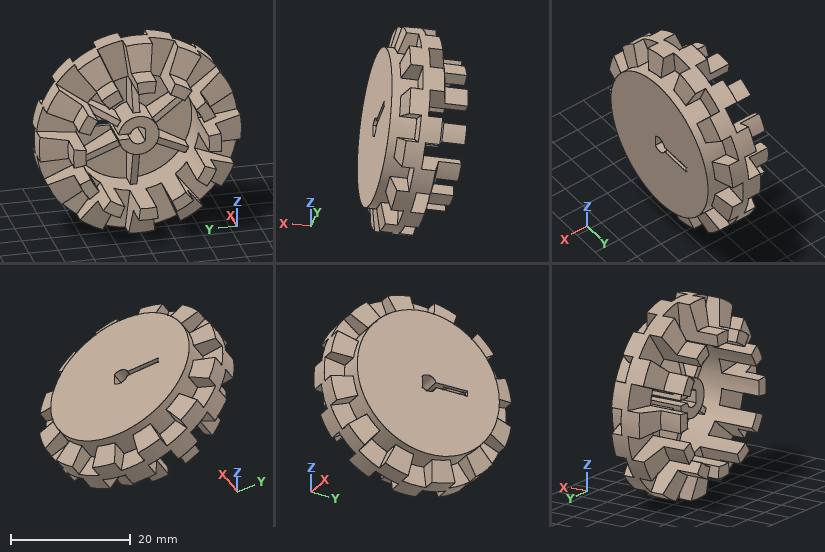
import cadquery as cq
import math

LENGTH = 13.25
FINGER_END = 3.95
FRONT_CONE_END = 5.1
HUB_FACE = 6.25
FRONT_GAP_END = 7.5
REAR_GAP_START = 8.75
REAR_CONE_START = 10.85
REAR_CONE_END = 11.7
FLOOR = 12.5
RIB_START_AT_HUB = 7.9
RIB_START_AT_WALL = 9.9

OUTER_RADIUS = 17.38
FINGER_RADIUS = 12.72
DISK_RADIUS = 13.55
CUP_RADIUS = 10.6
HUB_RADIUS = 3.48
BORE_RADIUS = 1.53

TOOTH_COUNT = 12
TOOTH_PITCH = 360 / TOOTH_COUNT
GAP_ANGLE = TOOTH_PITCH / 2
TOOTH_TWIST = -0.75
CUTTER_REACH = 1.5 * OUTER_RADIUS

FLAT_DISTANCE = 1.1
KEYWAY_REACH = 7.47
KEYWAY_WIDTH = 0.95
RIB_COUNT = 6
RIB_WIDTH = 1.15


def revolve_about_x(points):
    """Turn a closed (x, radius) outline about the X axis."""
    return cq.Workplane("XY").polyline(points).close().revolve(360, (0, 0, 0), (1, 0, 0))


def rod(start, end, radius):
    """Cylinder on the X axis."""
    return cq.Workplane("YZ").workplane(offset=start).circle(radius).extrude(end - start)


def gap_wedges(start, end, first_angle):
    """Ring of radial wedges, one per tooth; the first is centred first_angle from +Z towards -Y."""
    half_width = CUTTER_REACH * math.tan(math.radians(GAP_ANGLE / 2))
    wedge = (
        cq.Workplane("YZ")
        .workplane(offset=start)
        .polyline([(0, 0), (half_width, CUTTER_REACH), (-half_width, CUTTER_REACH)])
        .close()
        .extrude(end - start)
    )
    wedges = cq.Workplane("XY")
    for index in range(TOOTH_COUNT):
        angle = first_angle + index * TOOTH_PITCH
        wedges = wedges.add(wedge.rotate((0, 0, 0), (1, 0, 0), angle))
    return wedges.combine()


def cup():
    """Turned body with an open front, before the teeth are cut."""
    return revolve_about_x([
        (0, CUP_RADIUS),
        (0, FINGER_RADIUS),
        (FINGER_END, FINGER_RADIUS),
        (FRONT_CONE_END, OUTER_RADIUS),
        (REAR_CONE_START, OUTER_RADIUS),
        (REAR_CONE_END, DISK_RADIUS),
        (LENGTH, DISK_RADIUS),
        (LENGTH, 0),
        (FLOOR, 0),
        (FLOOR, CUP_RADIUS),
    ])


def rib():
    """Sloping web along +Z, from the hub to the cup wall, lower at the wall."""
    return (
        cq.Workplane("XZ")
        .polyline([
            (RIB_START_AT_HUB, 0),
            (RIB_START_AT_HUB, HUB_RADIUS),
            (RIB_START_AT_WALL, CUP_RADIUS),
            (LENGTH, CUP_RADIUS),
            (LENGTH, 0),
        ])
        .close()
        .extrude(RIB_WIDTH / 2, both=True)
    )


def shaft_opening():
    """Round bore with a flat on the -Y side and a keyway on the +Y side."""
    bore = rod(0, LENGTH, BORE_RADIUS)
    flat_side = cq.Workplane("XY").box(LENGTH, BORE_RADIUS, 2 * BORE_RADIUS, centered=(False, False, True))
    bore = bore.cut(flat_side.translate((0, -FLAT_DISTANCE - BORE_RADIUS, 0)))
    keyway = cq.Workplane("XY").box(LENGTH, KEYWAY_REACH, KEYWAY_WIDTH, centered=(False, False, True))
    return bore.union(keyway)


front_gaps = gap_wedges(0, FRONT_GAP_END, TOOTH_TWIST + GAP_ANGLE)

rear_gaps = gap_wedges(REAR_GAP_START, REAR_CONE_END, TOOTH_TWIST)
rear_gaps = rear_gaps.cut(rod(0, LENGTH, DISK_RADIUS))

result = cup().cut(front_gaps).cut(rear_gaps)
for index in range(RIB_COUNT):
    result = result.union(rib().rotate((0, 0, 0), (1, 0, 0), index * 360 / RIB_COUNT))
result = result.union(rod(HUB_FACE, LENGTH, HUB_RADIUS)).cut(shaft_opening())